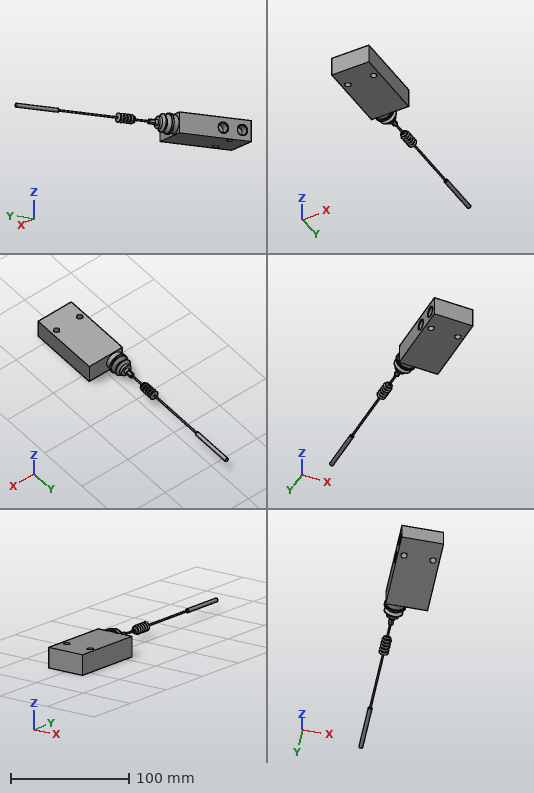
import cadquery as cq

block_width = 36.0
block_length = 68.6
block_height = 18.3
total_length = 220.0

axis_x = block_height / 2
axis_z = block_height / 2

mount_diameter = 5.3
mount_edge_distance = 5.5
mount_y = 18.0

port_diameter = 8.5
port_mouth_diameter = 10.0
port_depth = 8.8
port_y = (8.5, 26.8)

collar_radius = 16.0 / 2
collar_end = 73.7
flange_radius = block_height / 2
flange_end = 75.5
cone_radius = 8.4
neck_radius = 5.0
neck_start = 77.9
neck_end = 78.8
rim_start = 80.3
rim_end = 81.0
shoulder_radius = 5.5
shoulder_start = 83.0
cap_radius = 5.3
cap_end = 85.1
stem_radius = 5.0 / 2
stem_end = 88.0

hex_corner_diameter = 4.5
hex_end = 93.3

rod_diameter = 1.5
grip_diameter = 3.5
grip_start = 180.0

sleeve_start = 107.0
sleeve_tip_radius = 1.5
sleeve_lip_start = 107.5
sleeve_lip_end = 108.5
sleeve_lip_radius = 3.0
sleeve_core_radius = 5.3 / 2
rib_radius = 8.1 / 2
rib_width = 1.5
rib_round = rib_width / 2
rib_pitch = 3.0
rib_count = 5
first_rib_start = 109.3


def axis_cylinder(diameter, start, end):
    """Cylinder on the actuator axis between two Y positions."""
    plane = cq.Workplane("XZ", origin=(axis_x, end, axis_z))
    return plane.circle(diameter / 2).extrude(end - start)


def revolve_about_axis(profile):
    """Turn an outline of (radius, Y) around the actuator axis."""
    return profile.close().revolve(360, (0, 0, 0), (0, 1, 0)).translate((axis_x, 0, axis_z))


def make_block():
    block = cq.Workplane("XY").box(block_width, block_length, block_height, centered=False)
    for x in (mount_edge_distance, block_width - mount_edge_distance):
        hole = cq.Workplane("XY").center(x, mount_y).circle(mount_diameter / 2).extrude(block_height)
        block = block.cut(hole)
    mouth_chamfer = (port_mouth_diameter - port_diameter) / 2
    for y in port_y:
        face = cq.Workplane("YZ").center(y, axis_z)
        bore = face.circle(port_diameter / 2).extrude(port_depth)
        mouth = (
            face.circle(port_mouth_diameter / 2)
            .workplane(offset=mouth_chamfer)
            .circle(port_diameter / 2)
            .loft()
        )
        block = block.cut(bore).cut(mouth)
    return block


def make_boot():
    outline = [
        (0, block_length),
        (collar_radius, block_length),
        (collar_radius, collar_end),
        (flange_radius, collar_end),
        (flange_radius, flange_end),
        (cone_radius, flange_end),
        (neck_radius, neck_start),
        (neck_radius, neck_end),
        (collar_radius, rim_start),
        (collar_radius, rim_end),
        (shoulder_radius, shoulder_start),
        (cap_radius, cap_end),
        (stem_radius, cap_end),
        (stem_radius, stem_end),
        (0, stem_end),
    ]
    return revolve_about_axis(cq.Workplane("XY").polyline(outline))


def make_ferrule():
    plane = cq.Workplane("XZ", origin=(axis_x, hex_end, axis_z))
    hexagon = plane.polygon(6, hex_corner_diameter).extrude(hex_end - stem_end)
    quarter_turn = 90
    return hexagon.rotate((axis_x, 0, axis_z), (axis_x, 1, axis_z), quarter_turn)


def make_sleeve():
    profile = (
        cq.Workplane("XY")
        .moveTo(0, sleeve_start)
        .lineTo(sleeve_tip_radius, sleeve_start)
        .lineTo(sleeve_lip_radius, sleeve_lip_start)
        .lineTo(sleeve_lip_radius, sleeve_lip_end)
        .lineTo(sleeve_core_radius, sleeve_lip_end)
    )
    for index in range(rib_count):
        start = first_rib_start + index * rib_pitch
        end = start + rib_width
        profile = (
            profile.lineTo(sleeve_core_radius, start)
            .lineTo(rib_radius - rib_round, start)
            .threePointArc((rib_radius, start + rib_round), (rib_radius - rib_round, end))
            .lineTo(sleeve_core_radius, end)
        )
    return revolve_about_axis(profile.lineTo(0, end))


result = (
    make_block()
    .union(make_boot())
    .union(make_ferrule())
    .union(axis_cylinder(rod_diameter, stem_end, grip_start))
    .union(make_sleeve())
    .union(axis_cylinder(grip_diameter, grip_start, total_length))
)